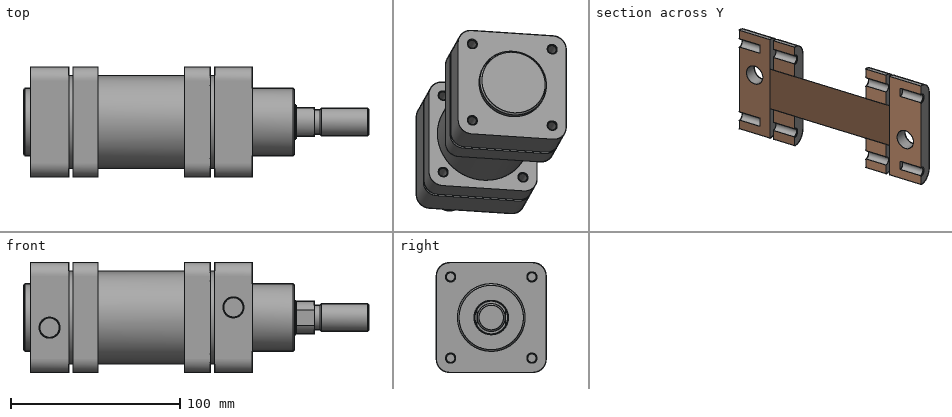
import cadquery as cq


block_side = 65.0
corner_radius = 8.0
screw_pitch = 48.0
screw_diameter = 5.0
screw_mouth_diameter = 6.0
cap_screw_depth = 15.0

rear_boss_length = 4.0
rear_cap_length = 22.8
front_cap_length = 22.3
rear_plate_length = 14.8
front_plate_length = 15.4
plate_gap = 2.4
clear_barrel_length = 51.0
front_boss_length = 25.0

rear_cap_start = rear_boss_length
rear_cap_end = rear_cap_start + rear_cap_length
rear_plate_start = rear_cap_end + plate_gap
rear_plate_end = rear_plate_start + rear_plate_length
front_plate_start = rear_plate_end + clear_barrel_length
front_plate_end = front_plate_start + front_plate_length
front_cap_start = front_plate_end + plate_gap
front_cap_end = front_cap_start + front_cap_length
front_boss_end = front_cap_end + front_boss_length

barrel_diameter = 55.0
boss_diameter = 40.0
boss_chamfer = 1.0

port_diameter = 11.4
port_mouth_diameter = 12.4
port_depth = 15.0
port_offset = 6.0

total_length = 204.0
rod_diameter = 20.4
rod_exposed_length = 1.0
flats_diameter = 19.3
rod_tip_chamfer = (rod_diameter - flats_diameter) / 2
flats_width = 17.0
flats_length = 10.6
neck_diameter = 14.5
neck_length = 4.3
thread_diameter = 16.5
thread_chamfer = (thread_diameter - neck_diameter) / 2

flats_start = front_boss_end + rod_exposed_length
flats_end = flats_start + flats_length
thread_start = flats_end + neck_length


def cylinder_along_x(start, end, diameter):
    return cq.Workplane("YZ", origin=(start, 0, 0)).circle(diameter / 2).extrude(end - start)


def square_block(start, end):
    """Block with four rounded corners running along X."""
    block = cq.Workplane("YZ", origin=(start, 0, 0)).rect(block_side, block_side).extrude(end - start)
    return block.edges("|X").fillet(corner_radius)


def countersunk_hole(mouth, direction, diameter, mouth_diameter, depth):
    """Cutter for a flat-bottomed hole with a 45 degree chamfer at its mouth."""
    chamfer = (mouth_diameter - diameter) / 2
    bore = cq.Solid.makeCylinder(diameter / 2, depth, mouth, direction)
    cone = cq.Solid.makeCone(mouth_diameter / 2, diameter / 2, chamfer, mouth, direction)
    return bore.fuse(cone)


def cut_screw_holes(body, face_x, inward, depth):
    """Four holes on a square pattern; inward is +1 or -1 along X."""
    for y_side in (-1, 1):
        for z_side in (-1, 1):
            mouth = cq.Vector(face_x, y_side * screw_pitch / 2, z_side * screw_pitch / 2)
            direction = cq.Vector(inward, 0, 0)
            hole = countersunk_hole(mouth, direction, screw_diameter, screw_mouth_diameter, depth)
            body = body.cut(hole)
    return body


def cut_port(body, x, z):
    mouth = cq.Vector(x, -block_side / 2, z)
    inward = cq.Vector(0, 1, 0)
    port = countersunk_hole(mouth, inward, port_diameter, port_mouth_diameter, port_depth)
    return body.cut(port)


def make_rear_cap():
    boss = cylinder_along_x(0, rear_cap_start, boss_diameter).faces("<X").chamfer(boss_chamfer)
    cap = square_block(rear_cap_start, rear_cap_end).union(boss)
    cap = cut_screw_holes(cap, rear_cap_start, 1, cap_screw_depth)
    return cut_port(cap, (rear_cap_start + rear_cap_end) / 2, -port_offset)


def make_front_cap():
    boss = cylinder_along_x(front_cap_end, front_boss_end, boss_diameter)
    boss = boss.faces(">X").chamfer(boss_chamfer)
    cap = square_block(front_cap_start, front_cap_end).union(boss)
    cap = cap.cut(cylinder_along_x(front_cap_start, front_boss_end, rod_diameter))
    cap = cut_screw_holes(cap, front_cap_end, -1, cap_screw_depth)
    return cut_port(cap, (front_cap_start + front_cap_end) / 2, port_offset)


def make_clamp_plate(start, end, screw_face, inward):
    """Plate around the barrel, with screw holes right through it."""
    plate = square_block(start, end).cut(cylinder_along_x(start, end, barrel_diameter))
    return cut_screw_holes(plate, screw_face, inward, end - start)


def make_rod():
    guided = cylinder_along_x(front_cap_start, flats_start, rod_diameter)
    guided = guided.faces(">X").chamfer(rod_tip_chamfer)
    flat_section = cylinder_along_x(flats_start, flats_end, flats_diameter).intersect(
        cq.Workplane("XY").box(2 * total_length, flats_width, 2 * flats_diameter)
    )
    neck = cylinder_along_x(flats_end, thread_start, neck_diameter)
    thread = cylinder_along_x(thread_start - thread_chamfer, total_length, thread_diameter)
    thread = thread.faces("<X or >X").chamfer(thread_chamfer)
    return guided.union(flat_section).union(neck).union(thread)


rear_cap = make_rear_cap()
front_cap = make_front_cap()
barrel = cylinder_along_x(rear_cap_end, front_cap_start, barrel_diameter)
rear_plate = make_clamp_plate(rear_plate_start, rear_plate_end, rear_plate_end, -1)
front_plate = make_clamp_plate(front_plate_start, front_plate_end, front_plate_start, 1)
rod = make_rod()

result = cq.Compound.makeCompound(
    [rear_cap.val(), front_cap.val(), barrel.val(), rear_plate.val(), front_plate.val(), rod.val()]
)